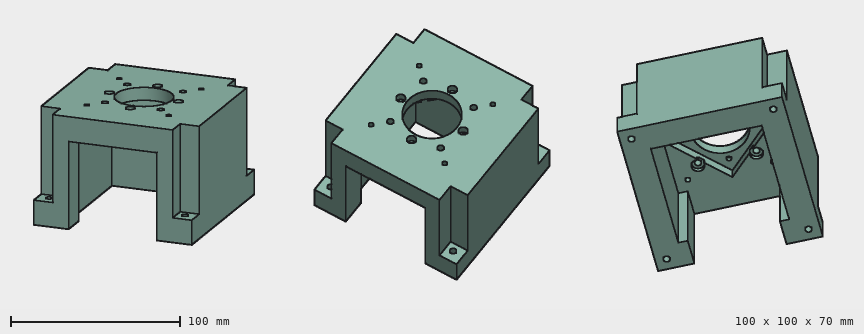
import cadquery as cq

side = 100.0
height = 70.0

relief_size = 12.0
foot_height = 15.4
foot_hole_diameter = 4.0
foot_hole_inset = 7.0

roof_thickness = 15.4
cavity_size = 67.2
door_width = 55.8
ceiling_height = height - roof_thickness

motor_plate_thickness = 8.0
motor_pocket_size = 43.0
motor_bore_diameter = 35.1
motor_screw_spacing = 31.0
motor_screw_diameter = 3.0
motor_head_diameter = 5.6
motor_head_depth = 5.0

inner_screw_spacing = 35.4
inner_screw_diameter = 4.0
inner_head_diameter = 8.0
inner_head_depth = 3.0
outer_screw_spacing = 51.8
outer_screw_diameter = 3.0


def square_corners(spacing):
    """Corner points of a square centred on the axis."""
    half = spacing / 2
    return [(x, y) for x in (-half, half) for y in (-half, half)]


def drills(points, diameter, bottom, top):
    """Vertical cylinders between two heights."""
    plane = cq.Workplane("XY").workplane(offset=bottom)
    return plane.pushPoints(points).circle(diameter / 2).extrude(top - bottom)


def square_prism(size, bottom, top):
    """Centred square prism between two heights."""
    return cq.Workplane("XY").workplane(offset=bottom).rect(size, size).extrude(top - bottom)


def corner_reliefs():
    """Square notches above the four feet."""
    plane = cq.Workplane("XY").workplane(offset=foot_height)
    points = square_corners(side - relief_size)
    return plane.pushPoints(points).rect(relief_size, relief_size).extrude(height - foot_height)


def doorway():
    """Opening from the -Y face to the middle of the cavity."""
    return (
        cq.Workplane("XY")
        .center(0, -side / 4)
        .rect(door_width, side / 2)
        .extrude(ceiling_height)
    )


def motor_seat():
    """Pocket, bore and counterbored screw holes for the turned motor."""
    pocket_top = height - motor_plate_thickness
    points = square_corners(motor_screw_spacing)
    seat = square_prism(motor_pocket_size, ceiling_height, pocket_top)
    seat = seat.union(drills([(0, 0)], motor_bore_diameter, ceiling_height, height))
    seat = seat.union(drills(points, motor_screw_diameter, ceiling_height, height))
    seat = seat.union(drills(points, motor_head_diameter, height - motor_head_depth, height))
    return seat.rotate((0, 0, 0), (0, 0, 1), 45)


body = square_prism(side, 0, height)
body = body.cut(corner_reliefs())
body = body.cut(square_prism(cavity_size, 0, ceiling_height))
body = body.cut(doorway())
body = body.cut(motor_seat())

foot_points = square_corners(side - 2 * foot_hole_inset)
body = body.cut(drills(foot_points, foot_hole_diameter, 0, foot_height))

inner_points = square_corners(inner_screw_spacing)
inner_head_top = ceiling_height + inner_head_depth
body = body.cut(drills(inner_points, inner_screw_diameter, ceiling_height, height))
body = body.cut(drills(inner_points, inner_head_diameter, ceiling_height, inner_head_top))

outer_points = square_corners(outer_screw_spacing)
result = body.cut(drills(outer_points, outer_screw_diameter, ceiling_height, height))